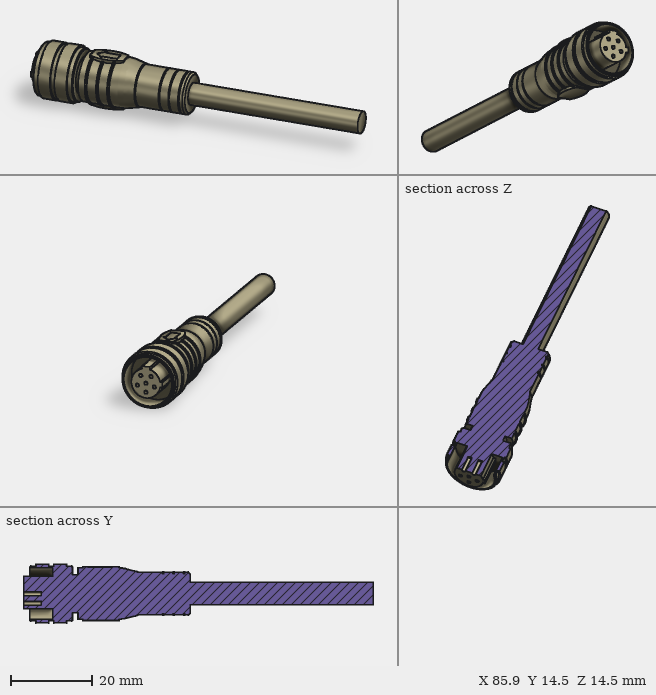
import cadquery as cq
import math

length = 85.9

insert_radius = 3.8
key_reach = 4.3
top_key_width = 2.15
side_key_width = 1.4
contact_circle_radius = 2.3
contact_count = 5
contact_diameter = 0.9
contact_depth = 4.3

nut_start = 1.5
nut_end = 12.0
nut_radius = 6.8
nut_chamfer = 0.3
band_diameter = 14.5
bands = [(3.0, 6.2), (7.4, 10.6)]
bore_radius = 6.3
bore_depth = 5.7

neck_radius = 4.7
grip_start = 13.3
grip_radius = 6.35
rib_radius = 6.6
rib_width = 0.5
rib_starts = [15.1, 18.1, 21.05]
shoulder_start = 23.7
shoulder_bend_end = 25.25
shoulder_bend_radius = 6.1
shoulder_foot_start = 27.8
shoulder_foot_radius = 5.5
shoulder_end = 28.1

pad_start = 14.5
pad_end = 23.45
pad_height = 6.6
pad_end_width = 3.5
pad_middle_width = 5.5
arrow_tip = 15.8
arrow_head_end = 17.7
arrow_end = 21.6
arrow_head_width = 3.6
arrow_shaft_width = 2.4
arrow_depth = 0.1

sleeve_radius = 5.3
sleeve_end = 41.0
sleeve_chamfer = 0.5
groove_width = 0.3
groove_depth = 0.35
groove_centers = [34.3, 36.85, 39.4]
cable_diameter = 5.6


def cylinder(start, end, radius):
    """Solid cylinder on the X axis between two X positions."""
    return cq.Workplane("YZ", origin=(start, 0, 0)).circle(radius).extrude(end - start)


def ring(start, end, outer_radius, inner_radius):
    """Tube on the X axis between two X positions."""
    profile = cq.Workplane("YZ", origin=(start, 0, 0)).circle(outer_radius).circle(inner_radius)
    return profile.extrude(end - start)


def make_nut():
    nut = cylinder(nut_start, nut_end, nut_radius).edges().chamfer(nut_chamfer)
    for start, end in bands:
        nut = nut.union(cylinder(start, end, band_diameter / 2))
    bore = cylinder(nut_start, nut_start + bore_depth, bore_radius)
    return nut.cut(bore)


def make_insert():
    insert_length = nut_start + bore_depth
    insert = cylinder(0, insert_length, insert_radius)
    top_key = cq.Workplane("XY").box(insert_length, top_key_width, key_reach, centered=(False, True, False))
    side_key = cq.Workplane("XY").box(insert_length, key_reach, side_key_width, centered=(False, False, True))
    side_key = side_key.translate((0, -key_reach, 0))
    return insert.union(top_key).union(side_key)


def make_contact_holes():
    centers = [(0, 0)]
    for index in range(contact_count):
        angle = math.radians(-90 + index * 360 / contact_count)
        centers.append((contact_circle_radius * math.cos(angle), contact_circle_radius * math.sin(angle)))
    return cq.Workplane("YZ").pushPoints(centers).circle(contact_diameter / 2).extrude(contact_depth)


def make_grip():
    """Grip barrel with its rounded shoulder, running down to a short bevelled foot at the sleeve."""
    bend_middle = (shoulder_start + shoulder_bend_end) / 2
    bend_middle_radius = grip_radius - (grip_radius - shoulder_bend_radius) / 4
    profile = (
        cq.Workplane("XY")
        .moveTo(grip_start, 0)
        .lineTo(grip_start, grip_radius)
        .lineTo(shoulder_start, grip_radius)
        .threePointArc((bend_middle, bend_middle_radius), (shoulder_bend_end, shoulder_bend_radius))
        .lineTo(shoulder_foot_start, shoulder_foot_radius)
        .lineTo(shoulder_end, sleeve_radius)
        .lineTo(shoulder_end, 0)
        .close()
    )
    grip = profile.revolve(360, (0, 0, 0), (1, 0, 0))
    for start in rib_starts:
        grip = grip.union(cylinder(start, start + rib_width, rib_radius))
    return grip


def make_pads():
    """Flat-faced block through the grip with bowed sides; its two ends stand out as the pads."""
    middle = (pad_start + pad_end) / 2
    outline = (
        cq.Workplane("XY", origin=(0, 0, -pad_height))
        .moveTo(pad_start, -pad_end_width / 2)
        .threePointArc((middle, -pad_middle_width / 2), (pad_end, -pad_end_width / 2))
        .lineTo(pad_end, pad_end_width / 2)
        .threePointArc((middle, pad_middle_width / 2), (pad_start, pad_end_width / 2))
        .close()
    )
    return outline.extrude(2 * pad_height)


def make_arrow():
    """Arrow-shaped cutter for the top pad, pointing to the mating face."""
    head = arrow_head_width / 2
    shaft = arrow_shaft_width / 2
    points = [
        (arrow_tip, 0),
        (arrow_head_end, head),
        (arrow_head_end, shaft),
        (arrow_end, shaft),
        (arrow_end, -shaft),
        (arrow_head_end, -shaft),
        (arrow_head_end, -head),
    ]
    return cq.Workplane("XY", origin=(0, 0, pad_height)).polyline(points).close().extrude(-arrow_depth)


def make_sleeve():
    sleeve = cylinder(shoulder_end, sleeve_end, sleeve_radius).faces(">X").edges().chamfer(sleeve_chamfer)
    for center in groove_centers:
        start = center - groove_width / 2
        sleeve = sleeve.cut(ring(start, start + groove_width, sleeve_radius, sleeve_radius - groove_depth))
    return sleeve


neck = cylinder(nut_end, grip_start, neck_radius)
cable = cylinder(sleeve_end, length, cable_diameter / 2)

result = make_nut().union(make_insert()).union(neck)
result = result.union(make_grip()).union(make_pads()).union(make_sleeve()).union(cable)
result = result.cut(make_contact_holes()).cut(make_arrow())